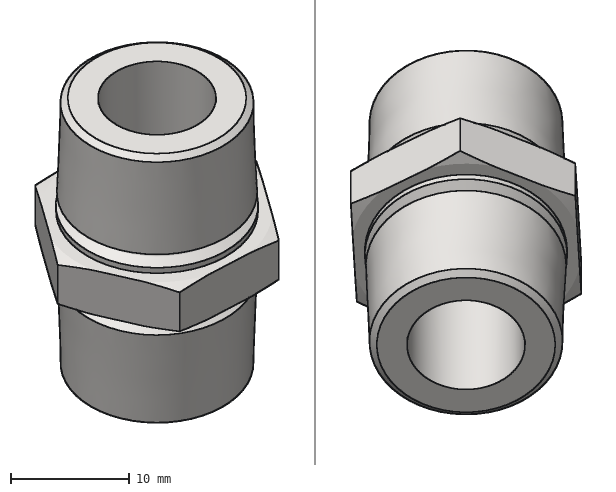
import cadquery as cq
import math

total_length = 29.0
bore_radius = 5.0

hex_across_flats = 19.0
hex_thickness = 4.78
hex_corner_drop = 0.3
hex_face_radius = 9.77

collar_radius = 8.55
collar_top = 3.0

groove_floor_radius = 7.6
groove_rounding_depth = 0.12
groove_floor_start = 3.48
groove_floor_end = 3.83

thread_start = 4.35
thread_start_radius = 8.47
thread_taper = 1 / 16
end_chamfer_length = 0.44
end_face_radius = 7.55

half_length = total_length / 2
half_hex = hex_thickness / 2
hex_across_corners = hex_across_flats / math.cos(math.pi / 6)
hex_corner_radius = hex_across_corners / 2


def make_hexagon():
    """Wrench hexagon with its corners cut by a shallow cone on both faces."""
    prism = (
        cq.Workplane("XY")
        .polygon(6, hex_across_corners)
        .extrude(half_hex, both=True)
    )
    corner_height = half_hex - hex_corner_drop
    cone_envelope = (
        cq.Workplane("XZ")
        .moveTo(0, -half_hex)
        .lineTo(hex_face_radius, -half_hex)
        .lineTo(hex_corner_radius, -corner_height)
        .lineTo(hex_corner_radius, corner_height)
        .lineTo(hex_face_radius, half_hex)
        .lineTo(0, half_hex)
        .close()
        .revolve(360, (0, 0), (0, 1))
    )
    return prism.intersect(cone_envelope)


def make_upper_end():
    """Collar, relief groove and tapered thread section above the mid-plane."""
    groove_edge_radius = groove_floor_radius + groove_rounding_depth
    groove_middle = (groove_floor_start + groove_floor_end) / 2
    thread_end = half_length - end_chamfer_length
    thread_end_radius = thread_start_radius - (thread_end - thread_start) * thread_taper / 2
    return (
        cq.Workplane("XZ")
        .moveTo(0, 0)
        .lineTo(collar_radius, 0)
        .lineTo(collar_radius, collar_top)
        .lineTo(groove_edge_radius, groove_floor_start)
        .threePointArc(
            (groove_floor_radius, groove_middle),
            (groove_edge_radius, groove_floor_end),
        )
        .lineTo(thread_start_radius, thread_start)
        .lineTo(thread_end_radius, thread_end)
        .lineTo(end_face_radius, half_length)
        .lineTo(0, half_length)
        .close()
        .revolve(360, (0, 0), (0, 1))
    )


upper_end = make_upper_end()
lower_end = upper_end.mirror("XY")
bore = cq.Workplane("XY").circle(bore_radius).extrude(half_length, both=True)

result = make_hexagon().union(upper_end).union(lower_end).cut(bore)